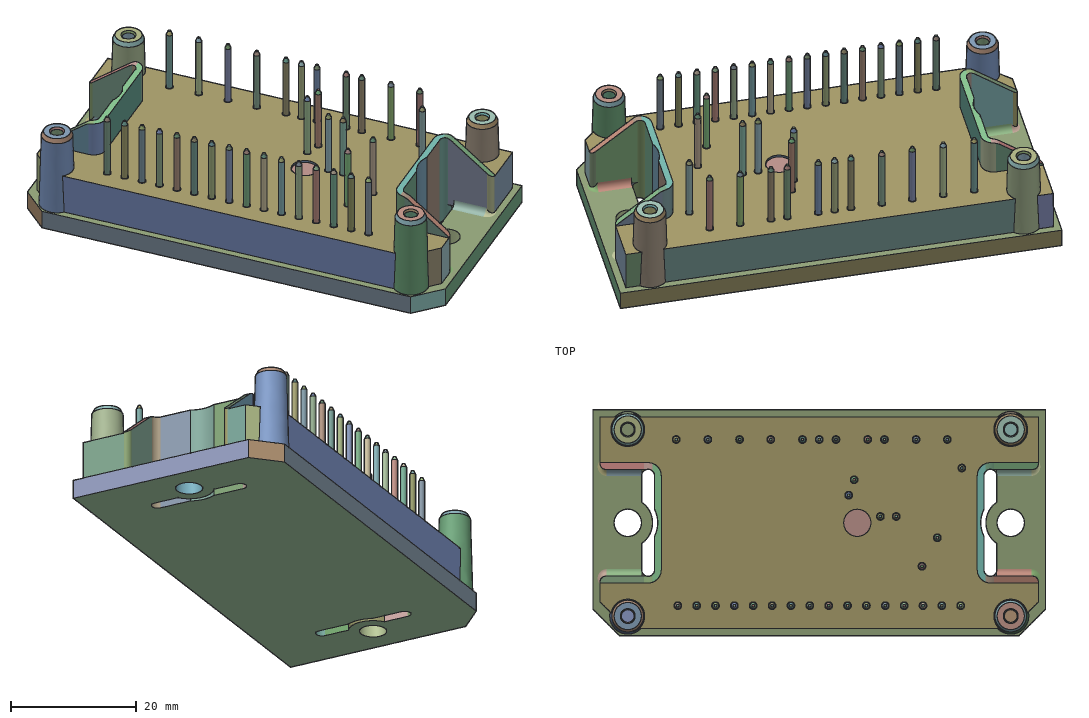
import cadquery as cq

LENGTH = 72.0
WIDTH = 36.0
PLATE_HEIGHT = 3.2
CORNER_CUT = 4.25

STEP = 1.15
BODY_TOP = 10.0

WALL = 1.1
WALL_TOP = 16.0
RECESS_FACE_X = 26.2
RECESS_HALF_WIDTH = 8.5
MOUTH_RADIUS = 0.9
RAMP_FOOT_Z = 10.15
RAMP_TOP_X = 27.2
RAMP_BLEND = 2.15

COVE_RADIUS = 1.1
COVE_END_RADIUS = 1.45
COVE_END_X = 33.8

SCREW_X = 30.45
SCREW_DIAMETER = 4.3
SCREW_LAND_RADIUS = 3.95
SCREW_CLEARANCE_RADIUS = 4.75
SLOT_WIDTH = 2.0

INNER_RADIUS = SLOT_WIDTH / 2
OUTER_RADIUS = INNER_RADIUS + WALL

BOSS_Y = 14.8
BOSS_TOP = 16.9
BOSS_FOOT_RADIUS = 2.9
BOSS_NECK_RADIUS = 2.5
BOSS_TIP_RADIUS = 2.15
BOSS_SHOULDER = 16.2
BOSS_BORE_DIAMETER = 2.0
BOSS_MOUTH_DIAMETER = 2.4
BOSS_MOUTH_DEPTH = 0.35
BOSS_BORE_DEPTH = 5.75

PIN_DIAMETER = 1.0
PIN_TOP = 20.7
PIN_TIP_HEIGHT = 0.65
PIN_TIP_RADIUS = 0.2
PIN_SOCKET_DIAMETER = 1.2
PIN_SOCKET_DEPTH = 0.15
BACK_ROW_Y = 13.25
BACK_ROW_X = (-22.75, -17.7, -12.7, -7.7, -2.7, 0, 2.7, 7.7, 10.4, 15.4, 20.4)
FRONT_ROW_Y = -13.2
FRONT_ROW_LENGTH = 45.0
FRONT_ROW_COUNT = 16
INNER_PINS = (
    (22.7, 8.7),
    (5.55, 6.85),
    (4.7, 4.4),
    (9.7, 1.0),
    (12.25, 1.0),
    (18.8, -2.4),
    (16.35, -6.9),
)

MARK_X = 6.05
MARK_DIAMETER = 4.3
MARK_DEPTH = 0.35

BODY_END_X = LENGTH / 2 - STEP
SLOT_EDGE_X = RECESS_FACE_X + SLOT_WIDTH


def cut_corner_block(length, width, bottom, top):
    """Block with its two -Y corners cut off."""
    block = cq.Workplane("XY", origin=(0, 0, bottom)).rect(length, width).extrude(top - bottom)
    return block.edges("|Z and <Y").chamfer(CORNER_CUT)


def cylinder(x, y, diameter, bottom, top):
    return cq.Workplane("XY", origin=(x, y, bottom)).circle(diameter / 2).extrude(top - bottom)


def turned(x, y, profile):
    """Solid of revolution about a vertical axis at (x, y), from an (r, z) outline."""
    return cq.Workplane("XZ").polyline(profile).close().revolve(360, (0, 0), (0, 1)).translate((x, y, 0))


def both_ends(solid):
    return solid.union(solid.mirror("YZ"))


def end_block(face_x, half_width, radius):
    """Block from face_x to the +X body end, above the plate, with rounded inner corners."""
    size = (BODY_END_X - face_x, 2 * half_width, WALL_TOP - PLATE_HEIGHT)
    block = cq.Workplane("XY").box(*size, centered=(False, True, False))
    return block.edges("|Z and <X").fillet(radius).translate((face_x, 0, PLATE_HEIGHT))


def recess_wall():
    """Outside of the wall, with arms that ramp down to the body end."""
    arm_profile = (
        cq.Workplane("XZ")
        .moveTo(RECESS_FACE_X - WALL, PLATE_HEIGHT)
        .lineTo(RECESS_FACE_X - WALL, WALL_TOP)
        .lineTo(RAMP_TOP_X, WALL_TOP)
        .lineTo(BODY_END_X, RAMP_FOOT_Z)
        .lineTo(BODY_END_X, PLATE_HEIGHT)
        .close()
        .extrude(WIDTH / 2, both=True)
        .edges(cq.NearestToPointSelector((RAMP_TOP_X, 0, WALL_TOP)))
        .fillet(RAMP_BLEND)
    )
    outside = end_block(RECESS_FACE_X - WALL, RECESS_HALF_WIDTH + WALL, OUTER_RADIUS)
    return outside.intersect(arm_profile)


def screw_clearance(bottom):
    """Room for a screw head, reaching into the recess face."""
    return cylinder(SCREW_X, 0, 2 * SCREW_CLEARANCE_RADIUS, bottom, WALL_TOP)


def mouth_flare():
    """Space that rounds off the two vertical corners where the recess meets the body end."""
    flare = None
    for side in (1, -1):
        corner_x = BODY_END_X - MOUTH_RADIUS
        corner_y = side * (RECESS_HALF_WIDTH + MOUTH_RADIUS)
        square = (
            cq.Workplane("XY", origin=(0, 0, PLATE_HEIGHT))
            .moveTo(corner_x, corner_y)
            .lineTo(corner_x, corner_y - side * MOUTH_RADIUS)
            .lineTo(BODY_END_X, corner_y - side * MOUTH_RADIUS)
            .lineTo(BODY_END_X, corner_y)
            .close()
            .extrude(WALL_TOP - PLATE_HEIGHT)
        )
        space = square.cut(cylinder(corner_x, corner_y, 2 * MOUTH_RADIUS, PLATE_HEIGHT, WALL_TOP))
        flare = space if flare is None else flare.union(space)
    return flare


def recess_opening():
    """Everything removed inside the wall, above the plate."""
    opening = end_block(RECESS_FACE_X, RECESS_HALF_WIDTH, INNER_RADIUS)
    return opening.union(screw_clearance(PLATE_HEIGHT)).union(mouth_flare())


def floor_coves():
    """Cove along both sides of the recess floor, from the slot to the mouth."""
    run = (
        cq.Workplane("YZ", origin=(SLOT_EDGE_X, RECESS_HALF_WIDTH, PLATE_HEIGHT))
        .lineTo(-COVE_RADIUS, 0)
        .radiusArc((0, COVE_RADIUS), -COVE_RADIUS)
        .close()
        .extrude(COVE_END_X - SLOT_EDGE_X)
    )
    rounded_end = (
        cq.Workplane("XZ")
        .lineTo(COVE_END_RADIUS, 0)
        .radiusArc((COVE_END_RADIUS - COVE_RADIUS, COVE_RADIUS), COVE_RADIUS)
        .lineTo(0, COVE_RADIUS)
        .close()
        .revolve(360, (0, 0), (0, 1))
        .translate((COVE_END_X, RECESS_HALF_WIDTH - COVE_RADIUS + COVE_END_RADIUS, PLATE_HEIGHT))
    )
    cove = run.union(rounded_end)
    return cove.union(cove.mirror("XZ"))


def slot():
    """Through slot along the recess face, passing around the land of the screw hole."""
    straight = (
        cq.Workplane("XY", origin=(RECESS_FACE_X + SLOT_WIDTH / 2, 0, 0))
        .slot2D(2 * RECESS_HALF_WIDTH, SLOT_WIDTH, 90)
        .extrude(PLATE_HEIGHT + COVE_RADIUS)
    )
    inboard = cq.Workplane("XY").box(SLOT_EDGE_X, WIDTH, PLATE_HEIGHT, centered=(False, True, False))
    land = cylinder(SCREW_X, 0, 2 * SCREW_LAND_RADIUS, 0, WALL_TOP)
    return straight.union(screw_clearance(0).intersect(inboard)).cut(land)


def boss(x, y):
    return turned(
        x,
        y,
        [
            (0, PLATE_HEIGHT),
            (BOSS_FOOT_RADIUS, PLATE_HEIGHT),
            (BOSS_NECK_RADIUS, BOSS_SHOULDER),
            (BOSS_TIP_RADIUS, BOSS_TOP),
            (0, BOSS_TOP),
        ],
    )


def boss_bore(x, y):
    """Blind hole with a flared mouth."""
    bore_bottom = BOSS_TOP - BOSS_BORE_DEPTH
    return turned(
        x,
        y,
        [
            (0, bore_bottom),
            (BOSS_BORE_DIAMETER / 2, bore_bottom),
            (BOSS_BORE_DIAMETER / 2, BOSS_TOP - BOSS_MOUTH_DEPTH),
            (BOSS_MOUTH_DIAMETER / 2, BOSS_TOP),
            (0, BOSS_TOP),
        ],
    )


def pin(x, y):
    """Round pin with a tapered tip, rooted in a shallow socket."""
    return turned(
        x,
        y,
        [
            (0, BODY_TOP - PIN_SOCKET_DEPTH),
            (PIN_DIAMETER / 2, BODY_TOP - PIN_SOCKET_DEPTH),
            (PIN_DIAMETER / 2, PIN_TOP - PIN_TIP_HEIGHT),
            (PIN_TIP_RADIUS, PIN_TOP),
            (0, PIN_TOP),
        ],
    )


result = cut_corner_block(LENGTH, WIDTH, 0, PLATE_HEIGHT)
result = result.union(cut_corner_block(LENGTH - 2 * STEP, WIDTH - 2 * STEP, PLATE_HEIGHT, BODY_TOP))
result = result.union(both_ends(recess_wall()))
result = result.cut(both_ends(recess_opening()))
result = result.union(both_ends(floor_coves()))
result = result.cut(both_ends(slot()))
result = result.cut(both_ends(cylinder(SCREW_X, 0, SCREW_DIAMETER, 0, PLATE_HEIGHT)))

boss_places = [(x, y) for x in (-SCREW_X, SCREW_X) for y in (-BOSS_Y, BOSS_Y)]
for x, y in boss_places:
    result = result.union(boss(x, y)).cut(boss_bore(x, y))

result = result.cut(cylinder(MARK_X, 0, MARK_DIAMETER, BODY_TOP - MARK_DEPTH, BODY_TOP))

front_pitch = FRONT_ROW_LENGTH / (FRONT_ROW_COUNT - 1)
pin_places = [(x, BACK_ROW_Y) for x in BACK_ROW_X]
pin_places += [(i * front_pitch - FRONT_ROW_LENGTH / 2, FRONT_ROW_Y) for i in range(FRONT_ROW_COUNT)]
pin_places += INNER_PINS
for x, y in pin_places:
    socket = cylinder(x, y, PIN_SOCKET_DIAMETER, BODY_TOP - PIN_SOCKET_DEPTH, BODY_TOP)
    result = result.cut(socket).union(pin(x, y))